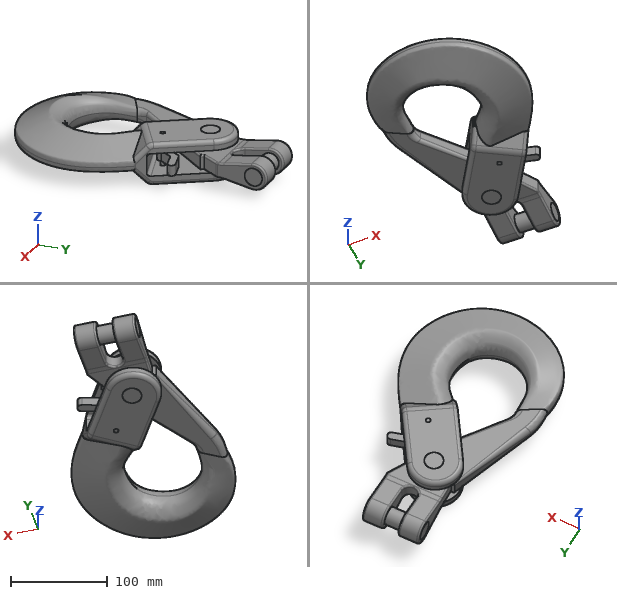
import cadquery as cq
import math


total_height = 48.0
pin_diameter = 20.0
lever_thickness = 17.0
half_lever = lever_thickness / 2

clevis_left = -23.7
clevis_width = 65.0
clevis_right = clevis_left + clevis_width
clevis_middle = clevis_left + clevis_width / 2
clevis_end_radius = 15.0
clevis_pin_y = 67.9
clevis_slot_width = 18.0
clevis_slot_bottom = 29.8
clevis_neck_y = 30.8
neck_blend_radius = 33.0
lever_edge_radius = 2.0

hub_left_y = 18.9
hub_left_blend = 50.0
hub_right_y = 25.5
hub_right_blend = 4.0
hub_waist = (30.0, 6.5)
arm_top_left = (-27.7, 7.5)
arm_top_right = (32.0, 3.0)
arm_bend_outer = (-67.3, -88.0)
arm_bend_inner = (-39.7, -91.3)
arm_mid_outer = (-70.2, -99.0)
arm_mid_inner = (-41.6, -96.5)
split_outer = (-70.9, -119.0)
split_inner = (-42.2, -102.7)
arm_tip_radius = 7.0
arm_bend_inner_radius = 4.5
arm_mid_inner_radius = 6.0

bowl_center = (-2.06, -119.8)
bowl_radius = 40.0
bowl_half_thickness = 20.5
bowl_rim_half = 7.0
bowl_rim_corner = 4.0
bowl_inner_round = 20.0
rim_cut = 0.24
bowl_stations = [
    (-165, 73.2, 10.5, 9.0, 8.2),
    (-140, 80.7, 14.5, 13.0, 7.4),
    (-115, 85.8, 18.0, 17.0, bowl_rim_half),
    (-90, 90.1, 19.8, 19.0, bowl_rim_half),
    (-60, 95.1, bowl_half_thickness, bowl_inner_round, bowl_rim_half),
    (-25, 97.7, bowl_half_thickness, bowl_inner_round, bowl_rim_half),
    (5, 96.2, bowl_half_thickness, bowl_inner_round, bowl_rim_half),
    (30, 93.4, bowl_half_thickness, bowl_inner_round, bowl_rim_half),
]

cheek_angle = 32.0
cheek_center = (-1.0, -0.9)
cheek_radius = 29.2
cheek_edge_radius = 5.0
cheek_bevel_start = 67.1
cheek_bevel_radius = 10.0
wedge_tip_half = 8.0
shank_start = 64.0
shank_turn = 50.0
shank_turn_distance = 82.0
shank_inset = 1.5
cheek_gap = 25.5
gap_near_corner = (3.1, -62.5)
gap_floor_angle = 17.0
gap_corner_radius = 4.0
gap_length = 8 * cheek_radius
gap_depth = 4 * cheek_radius

trigger_pin_diameter = 5.0
trigger_pin_center = (27.9, -41.6)
trigger_thickness = 12.0
trigger_hub_radius = 6.0
trigger_tip_radius = 4.3
trigger_tip = (58.6, -17.6)
trigger_elbow = (40.0, -22.5)


def z_cylinder(center, diameter, height):
    """Upright cylinder centred on Z = 0."""
    plane = cq.Workplane("XY", origin=(*center, -height / 2))
    return plane.circle(diameter / 2).extrude(height)


def x_cylinder(diameter):
    """Cylinder through both clevis lugs."""
    plane = cq.Workplane("YZ", origin=(clevis_left, clevis_pin_y, 0))
    return plane.circle(diameter / 2).extrude(clevis_width)


def section_frame(inner, outer):
    """Width of an upright section and a function placing points in it, from the inner side outwards."""
    inner_point = cq.Vector(*inner, 0)
    run = cq.Vector(*outer, 0) - inner_point
    direction = run.normalized()

    def place(distance, z):
        return inner_point + direction * distance + cq.Vector(0, 0, z)

    return run.Length, place


def arm_wire(inner, outer, inner_corner, outer_corner):
    """Upright section of the lever arm: a flat bar with its own corner radius on each side."""
    width, place = section_frame(inner, outer)
    edges = []

    def add_corner(distance, inward, side, radius, starts_on_face):
        corner_cut = radius * (1 - math.sqrt(0.5))
        side_point = place(distance, side * (half_lever - radius))
        face_point = place(distance + inward * radius, side * half_lever)
        middle = place(distance + inward * corner_cut, side * (half_lever - corner_cut))
        start, end = (face_point, side_point) if starts_on_face else (side_point, face_point)
        if edges:
            edges.append(cq.Edge.makeLine(edges[-1].endPoint(), start))
        edges.append(cq.Edge.makeThreePointArc(start, middle, end))

    add_corner(0, 1, -1, inner_corner, True)
    add_corner(0, 1, 1, inner_corner, False)
    add_corner(width, -1, 1, outer_corner, True)
    add_corner(width, -1, -1, outer_corner, False)
    edges.append(cq.Edge.makeLine(edges[-1].endPoint(), edges[0].startPoint()))
    return cq.Wire.assembleEdges(edges)


def bowl_wire(inner, outer, half_thickness, inner_round, rim_half, rim_corner):
    """Upright teardrop section of the hook: round inside, flat flanks, narrow rim outside."""
    width, place = section_frame(inner, outer)
    origin = place(0, 0)
    shoulder = width - rim_corner
    cut = 1 - math.sqrt(0.5)
    slope = (rim_half - half_thickness) / (shoulder - inner_round)

    def half(side):
        def direction(distance, z):
            return (place(distance, side * z) - origin).normalized()

        flank = direction(1, slope)
        points = [
            place(0, 0),
            place(inner_round * cut, side * half_thickness * (1 - cut)),
            place(inner_round, side * half_thickness),
            place(shoulder, side * rim_half),
            place(width - rim_corner * rim_cut, side * rim_half * (1 - rim_cut)),
            place(width, 0),
        ]
        tangents = [
            direction(0, 1),
            direction(inner_round, half_thickness),
            flank,
            flank,
            direction(rim_corner, -rim_half),
            direction(0, -1),
        ]
        return cq.Edge.makeSpline(points, tangents=tangents)

    return cq.Wire.assembleEdges([half(1), half(-1)])


def split_wire():
    """Section where the lever meets the tip of the hook."""
    return arm_wire(split_inner, split_outer, arm_tip_radius, arm_tip_radius)


def clevis_side_profile():
    """Side outline: round lug ends tapering to the flat lever, swept across the width."""
    reach = math.hypot(clevis_pin_y - clevis_neck_y, half_lever)
    neck_direction = math.atan2(half_lever, clevis_neck_y - clevis_pin_y)
    tangent_angle = neck_direction - math.acos(clevis_end_radius / reach)
    tangent_y = clevis_pin_y + clevis_end_radius * math.cos(tangent_angle)
    tangent_z = clevis_end_radius * math.sin(tangent_angle)
    profile = (
        cq.Workplane("YZ", origin=(clevis_left, 0, 0))
        .moveTo(0, half_lever)
        .lineTo(clevis_neck_y, half_lever)
        .lineTo(tangent_y, tangent_z)
        .threePointArc((clevis_pin_y + clevis_end_radius, 0), (tangent_y, -tangent_z))
        .lineTo(clevis_neck_y, -half_lever)
        .lineTo(0, -half_lever)
        .close()
        .extrude(clevis_width)
    )
    upper_neck = cq.selectors.NearestToPointSelector((clevis_middle, clevis_neck_y, half_lever))
    lower_neck = cq.selectors.NearestToPointSelector((clevis_middle, clevis_neck_y, -half_lever))
    return profile.edges(upper_neck + lower_neck).fillet(neck_blend_radius)


def upright_edge_at(x, y):
    """Selector for the edge parallel to Z at an XY point."""
    return cq.selectors.NearestToPointSelector((x, y, 0))


def clevis_outline():
    """Outline from above of the lugs and hub, ending on the line where the arm starts."""
    top_y = clevis_pin_y + clevis_end_radius
    outline = (
        cq.Workplane("XY")
        .workplane(offset=-total_height / 2)
        .polyline(
            [
                (clevis_left, top_y),
                (clevis_left, hub_left_y),
                arm_top_left,
                arm_top_right,
                hub_waist,
                (clevis_right, hub_right_y),
                (clevis_right, top_y),
            ]
        )
        .close()
        .extrude(total_height)
    )
    outline = outline.edges(upright_edge_at(clevis_left, hub_left_y)).fillet(hub_left_blend)
    outline = outline.edges(upright_edge_at(clevis_right, hub_right_y)).fillet(hub_right_blend)
    slot_end = clevis_slot_bottom + clevis_slot_width / 2
    slot_round = z_cylinder((clevis_middle, slot_end), clevis_slot_width, total_height)
    mouth = cq.Workplane("XY").box(clevis_slot_width, top_y, total_height)
    mouth = mouth.translate((clevis_middle, slot_end + top_y / 2, 0))
    return outline.cut(slot_round).cut(mouth)


def make_clevis():
    """Lugs and hub with rounded edges; the edges of the arm joint stay sharp."""
    clevis = clevis_side_profile().intersect(clevis_outline())
    joint_x = (arm_top_left[0] + arm_top_right[0]) / 2
    joint_y = (arm_top_left[1] + arm_top_right[1]) / 2
    joint = clevis.faces(cq.selectors.NearestToPointSelector((joint_x, joint_y, 0)))
    joint_edges = joint.edges().vals()
    rounded = [
        edge
        for edge in clevis.edges("not(|Z)").vals()
        if not any(edge.isSame(joint_edge) for joint_edge in joint_edges)
    ]
    return clevis.newObject(rounded).fillet(lever_edge_radius)


def make_lever():
    """Clevis, tapering arm and bend in one forging, bored for both pins."""
    arm_end = arm_wire(arm_bend_inner, arm_bend_outer, arm_bend_inner_radius, arm_tip_radius)
    bend_middle = arm_wire(arm_mid_inner, arm_mid_outer, arm_mid_inner_radius, arm_tip_radius)
    arm_start = arm_wire(arm_top_right, arm_top_left, lever_edge_radius, lever_edge_radius)
    arm = cq.Workplane(cq.Solid.makeLoft([arm_start, arm_end], True))
    bend = cq.Workplane(cq.Solid.makeLoft([arm_end, bend_middle, split_wire()]))
    lever = make_clevis().union(arm).union(bend)
    return lever.cut(x_cylinder(pin_diameter)).cut(z_cylinder((0, 0), pin_diameter, total_height))


def cheek_vector():
    """Direction of the cheek axis, from the pivot towards the bowl."""
    angle = math.radians(cheek_angle)
    return math.sin(angle), -math.cos(angle)


def along_cheek(distance, offset):
    """XY point at a distance down the cheek axis, offset across it towards the outside."""
    run_x, run_y = cheek_vector()
    return (
        cheek_center[0] + distance * run_x - offset * run_y,
        cheek_center[1] + distance * run_y + offset * run_x,
    )


def bowl_point(angle, radius):
    """XY point on a ray from the bowl centre."""
    turn = math.radians(angle)
    return bowl_center[0] + radius * math.cos(turn), bowl_center[1] + radius * math.sin(turn)


def make_bowl():
    """Curved body of the hook, lofted from the tip round to the shank."""
    wires = [
        bowl_wire(split_inner, split_outer, half_lever, arm_tip_radius, half_lever, arm_tip_radius),
    ]
    for angle, outer_radius, half_thickness, inner_round, rim_half in bowl_stations:
        inner = bowl_point(angle, bowl_radius)
        outer = bowl_point(angle, outer_radius)
        wires.append(bowl_wire(inner, outer, half_thickness, inner_round, rim_half, bowl_rim_corner))
    shank_ends = [
        (bowl_point(shank_turn, bowl_radius), along_cheek(shank_turn_distance, cheek_radius)),
        (along_cheek(shank_start, shank_inset - cheek_radius), along_cheek(shank_start, cheek_radius)),
    ]
    for inner, outer in shank_ends:
        wires.append(
            bowl_wire(inner, outer, bowl_half_thickness, bowl_inner_round, bowl_rim_half, bowl_rim_corner)
        )
    return cq.Workplane(cq.Solid.makeLoft(wires))


def make_cheek_block():
    """Block of both cheeks, ending in a wedge that runs out into the bowl."""
    half_height = total_height / 2
    plane = cq.Plane(origin=(*cheek_center, -half_height), xDir=(*cheek_vector(), 0), normal=(0, 0, 1))
    wedge_tip = cheek_bevel_start + half_height - wedge_tip_half
    block = (
        cq.Workplane(plane)
        .moveTo(0, -cheek_radius)
        .lineTo(wedge_tip, -cheek_radius)
        .lineTo(wedge_tip, cheek_radius)
        .lineTo(0, cheek_radius)
        .threePointArc((-cheek_radius, 0), (0, -cheek_radius))
        .close()
        .extrude(total_height)
    )
    for face in (">Z", "<Z"):
        end = block.faces(cq.selectors.NearestToPointSelector((*along_cheek(wedge_tip, 0), 0)))
        block = end.edges(face).chamfer(half_height - wedge_tip_half)
    for height in (half_height, -half_height):
        bevel_edge = cq.selectors.NearestToPointSelector((*along_cheek(cheek_bevel_start, 0), height))
        block = block.edges(bevel_edge).fillet(cheek_bevel_radius)
    side_x, side_y = along_cheek(shank_start / 2, cheek_radius)
    upper_side = cq.selectors.NearestToPointSelector((side_x, side_y, half_height))
    lower_side = cq.selectors.NearestToPointSelector((side_x, side_y, -half_height))
    return block.edges(upper_side + lower_side).fillet(cheek_edge_radius)


def make_cheek_gap():
    """Space between the cheeks for the lever and trigger, with a sloping floor, open on all other sides."""
    gap = cq.Workplane("XY").box(gap_length, gap_depth, cheek_gap, centered=(True, False, True))
    gap = gap.faces("<Y").edges("|X").fillet(gap_corner_radius)
    return gap.rotate((0, 0, 0), (0, 0, 1), gap_floor_angle).translate((*gap_near_corner, 0))


def make_hook():
    """Bowl and cheeks in one forging, gapped for the lever and bored for both pins."""
    block = make_cheek_block().cut(z_cylinder(bowl_center, 2 * bowl_radius, total_height))
    hook = make_bowl().union(block)
    hook = hook.cut(make_cheek_gap())
    hook = hook.cut(z_cylinder((0, 0), pin_diameter, total_height))
    return hook.cut(z_cylinder(trigger_pin_center, trigger_pin_diameter, total_height))


def trigger_bar(start, end):
    """Straight bar of the trigger, rounded at its far end."""
    run = (end[0] - start[0], end[1] - start[1])
    plane = cq.Plane(origin=(*start, 0), xDir=(*run, 0), normal=(0, 0, 1))
    width = 2 * trigger_tip_radius
    bar = cq.Workplane(plane).box(math.hypot(*run), width, trigger_thickness, centered=(False, True, True))
    return bar.union(z_cylinder(end, width, trigger_thickness))


def make_trigger():
    """Bent thumb lever turning on the trigger pin between the cheeks."""
    hub = z_cylinder(trigger_pin_center, 2 * trigger_hub_radius, trigger_thickness)
    inner_bar = trigger_bar(trigger_pin_center, trigger_elbow)
    outer_bar = trigger_bar(trigger_elbow, trigger_tip)
    pin_hole = z_cylinder(trigger_pin_center, trigger_pin_diameter, total_height)
    return hub.union(inner_bar).union(outer_bar).cut(pin_hole)


lever = make_lever()
hook = make_hook()
trigger = make_trigger()
main_pin = z_cylinder((0, 0), pin_diameter, total_height)
trigger_pin = z_cylinder(trigger_pin_center, trigger_pin_diameter, total_height)
clevis_pin = x_cylinder(pin_diameter)

bodies = [lever, hook, trigger, main_pin, trigger_pin, clevis_pin]
result = cq.Compound.makeCompound([body.solids().val() for body in bodies])